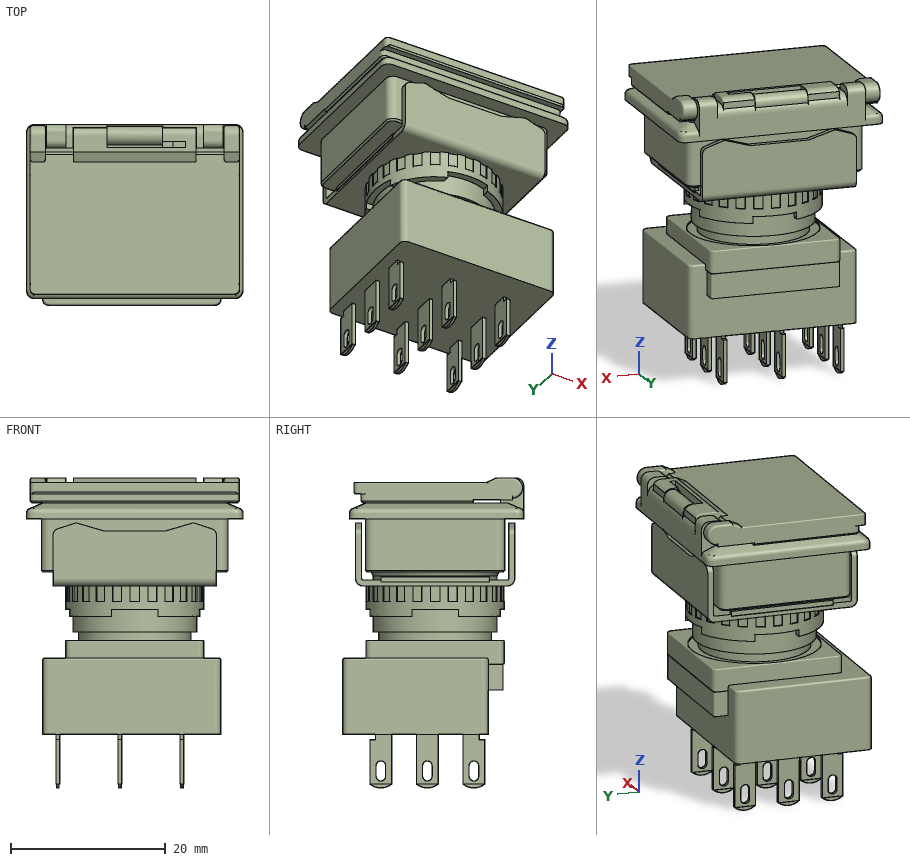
import cadquery as cq


FRAME_X, FRAME_REAR, FRAME_FRONT = 28.0, 11.45, -11.05
FRAME_CORNER_R, FRAME_TOP_CORNER_R = 1.05, 0.4
FRAME_EDGE_Z, FRAME_TOP_Z = 1.15, 2.05
FRAME_BEVEL_INSET = 2.1
FRAME_EDGE_FILLET = 0.65
FRAME_Y = FRAME_REAR - FRAME_FRONT
FRAME_MID_Y = (FRAME_REAR + FRAME_FRONT) / 2
HEAD_X, HEAD_Y, HEAD_DEPTH = 24.15, 18.05, 6.9
HEAD_CORNER_R, HEAD_CHAMFER = 1.1, 0.25

BARREL_R, BARREL_CONE_R, BARREL_CONE_H = 8.0, 8.25, 0.5
BARREL_BOTTOM_Z = -14.65
NECK_R = 7.3
CLIP_BOTTOM_Z = -8.7
KNURL_R, KNURL_BOTTOM_Z = 8.95, -11.7
GROOVE_COUNT, GROOVE_W, GROOVE_H, GROOVE_DEPTH = 24, 1.2, 2.0, 0.2
CROWN_BOTTOM_Z, CROWN_NOTCH_W = -12.65, 6.0

HINGE_Y, HINGE_Z, HINGE_R = 10.0, 3.95, 1.32
HINGE_TOP_Z = HINGE_Z + HINGE_R
KNUCKLE_INNER_X, KNUCKLE_OUTER_X = 8.9, 11.4
KNUCKLE_FRONT_Y, KNUCKLE_FRONT_R, KNUCKLE_REAR_R = 8.42, 0.92, 1.05
WALL_TOP_Z, WALL_ROUND_R = 4.4, 1.5

LID_X, LID_FRONT, LID_CORNER_R = 27.03, -10.5, 0.6
LID_BOTTOM_Z, LID_TOP_Z = FRAME_TOP_Z, 4.7
LIP_BOTTOM_Z, LID_LOWER_FRONT = 3.2, -9.6
LID_TOP_FILLET, LID_BOTTOM_CHAMFER = 0.15, 0.25
LIP_CHAMFER_Y, LIP_CHAMFER_Z = 0.12, 0.3
LID_NOTCH_CHAMFER = 0.32
RELIEF_Z, RELIEF_Y = 2.45, 4.95
HUMP_FLAT_FRONT_Y, HUMP_RAMP_FRONT_Y = 7.9, 6.6
EAR_FILLET, CENTER_FILLET = 0.3, 0.12
EAR_INNER_X = 11.5
CENTER_HALF_X, CENTER_REAR_Y = 7.95, 11.03
LID_NOTCH_FRONT_Y = 7.9
PIN_HALF_X, PIN_R = 3.6, 1.2
PIN_RECESS_FRONT_Y = 8.45
SLOT_REAR_Y, SLOT_END_X, SLOT_STEP_X = 9.22, 6.55, 4.97
SLOT_DEEP_Z, SLOT_SHALLOW_Z = 4.0, 4.4
HINGE_GAP = 0.05

CLIP_X, CLIP_Y, CLIP_T = 21.1, 20.6, 0.8
CLIP_BEND_R = 1.0
CLIP_CORNER_Z, CLIP_CORNER_R = -1.5, 0.8
CLIP_PEAK_X, CLIP_PEAK_Z = 7.58, -0.52
CLIP_VALLEY_X, CLIP_VALLEY_Z = 4.0, -1.55
CLIP_RIB_Y, CLIP_RIB_T, CLIP_RIB_TOP_Z = 14.05, 0.6, -7.55
CLIP_STEP_Z, CLIP_STEP = -8.2, 0.12

PLATE_SIDE, PLATE_TOP_Z, PLATE_BOTTOM_Z = 17.9, -15.7, -18.8
PLATE_CORNER_R, PLATE_FILLET = 0.75, 0.15
RECESS_R, RECESS_DEPTH = 8.62, 0.2
LEVER_BOTTOM_Z = -22.15
BLOCK_LEFT, BLOCK_RIGHT = -11.9, 11.15
BLOCK_FRONT, BLOCK_REAR = -11.95, 6.9
BLOCK_TOP_Z, BLOCK_BOTTOM_Z = -18.0, -27.85
BLOCK_CORNER_R, BLOCK_FILLET = 0.8, 0.3

TERMINAL_MID_X, TERMINAL_PITCH_X = -1.92, 8.0
TERMINAL_MID_Y, TERMINAL_PITCH_Y = -1.0, 6.0
TERMINAL_W, TERMINAL_T, TERMINAL_TIP_T = 2.85, 0.52, 0.35
TERMINAL_TIP_Z, TERMINAL_ARC_Z = -34.8, -34.3
TERMINAL_NOTCH_W, TERMINAL_NOTCH_H = 0.72, 0.7
EYE_Z, EYE_L, EYE_W = -32.6, 2.55, 1.2


def box(x0, x1, y0, y1, z0, z1):
    """Block between the given coordinates."""
    return cq.Workplane("XY").box(x1 - x0, y1 - y0, z1 - z0, centered=False).translate((x0, y0, z0))


def cylinder(radius, z0, z1):
    """Upright cylinder on the barrel axis."""
    return cq.Workplane("XY").workplane(offset=z0).circle(radius).extrude(z1 - z0)


def extrude_along_x(profile, x0, x1):
    """Extrude a closed (Y, Z) profile drawn on the YZ plane from x0 to x1."""
    return profile.extrude(x1 - x0).translate((x0, 0, 0))


def rounded_rectangle(size_x, size_y, corner_r):
    return cq.Sketch().rect(size_x, size_y).vertices().fillet(corner_r)


def frame_flange():
    """Flange plate whose top bevels inward, softened where the bevel meets the upright edge."""
    outline = rounded_rectangle(FRAME_X, FRAME_Y, FRAME_CORNER_R)
    top_outline = rounded_rectangle(
        FRAME_X - 2 * FRAME_BEVEL_INSET, FRAME_Y - 2 * FRAME_BEVEL_INSET, FRAME_TOP_CORNER_R
    ).moved(cq.Location(cq.Vector(0, 0, FRAME_TOP_Z - FRAME_EDGE_Z)))
    edge = cq.Workplane("XY").placeSketch(outline).extrude(FRAME_EDGE_Z)
    bevel = cq.Workplane("XY").workplane(offset=FRAME_EDGE_Z).placeSketch(outline, top_outline).loft()
    shoulder = cq.selectors.BoxSelector(
        (-FRAME_X, -FRAME_Y, FRAME_EDGE_Z - 0.05), (FRAME_X, FRAME_Y, FRAME_EDGE_Z + 0.05)
    )
    flange = edge.union(bevel).edges(shoulder).fillet(FRAME_EDGE_FILLET)
    return flange.translate((0, FRAME_MID_Y, 0))


def hinge_wall():
    """Low wall along the rear edge, hollowed where the middle of the lid turns."""
    profile = (
        cq.Workplane("YZ").moveTo(KNUCKLE_FRONT_Y, 0).lineTo(FRAME_REAR, 0)
        .lineTo(FRAME_REAR, WALL_TOP_Z - WALL_ROUND_R)
        .radiusArc((FRAME_REAR - WALL_ROUND_R, WALL_TOP_Z), -WALL_ROUND_R)
        .lineTo(KNUCKLE_FRONT_Y, WALL_TOP_Z).close()
    )
    wall = extrude_along_x(profile, -KNUCKLE_OUTER_X, KNUCKLE_OUTER_X)
    lid_room_x = CENTER_HALF_X + HINGE_GAP
    lid_room_y = CENTER_REAR_Y + HINGE_GAP
    pin_room_x = PIN_HALF_X + HINGE_GAP
    pin_room_y = HINGE_Y + PIN_R + HINGE_GAP
    wall = wall.cut(box(-lid_room_x, lid_room_x, 0, lid_room_y, FRAME_TOP_Z, HINGE_TOP_Z))
    return wall.cut(box(-pin_room_x, pin_room_x, 0, pin_room_y, FRAME_TOP_Z, HINGE_TOP_Z))


def knuckle(x0, x1):
    profile = (
        cq.Workplane("YZ").moveTo(KNUCKLE_FRONT_Y, 0).lineTo(FRAME_REAR, 0)
        .lineTo(FRAME_REAR, HINGE_TOP_Z - KNUCKLE_REAR_R)
        .radiusArc((FRAME_REAR - KNUCKLE_REAR_R, HINGE_TOP_Z), -KNUCKLE_REAR_R)
        .lineTo(KNUCKLE_FRONT_Y + KNUCKLE_FRONT_R, HINGE_TOP_Z)
        .radiusArc((KNUCKLE_FRONT_Y, HINGE_TOP_Z - KNUCKLE_FRONT_R), -KNUCKLE_FRONT_R).close()
    )
    return extrude_along_x(profile, x0, x1)


def barrel():
    head_bottom_z = -HEAD_DEPTH
    cone_bottom_z = head_bottom_z - BARREL_CONE_H
    neck_bottom_z = PLATE_TOP_Z - RECESS_DEPTH
    return (
        cq.Workplane("XZ").moveTo(0, head_bottom_z).lineTo(BARREL_CONE_R, head_bottom_z)
        .lineTo(BARREL_R, cone_bottom_z).lineTo(BARREL_R, BARREL_BOTTOM_Z)
        .lineTo(NECK_R, BARREL_BOTTOM_Z).lineTo(NECK_R, neck_bottom_z).lineTo(0, neck_bottom_z)
        .close().revolve(360, (0, 0, 0), (0, 1, 0))
    )


def knurled_ring():
    ring = cylinder(KNURL_R, KNURL_BOTTOM_Z, CLIP_BOTTOM_Z)
    groove = box(
        KNURL_R - GROOVE_DEPTH, KNURL_R + 0.4, -GROOVE_W / 2, GROOVE_W / 2,
        CLIP_BOTTOM_Z - GROOVE_H, CLIP_BOTTOM_Z,
    )
    for i in range(GROOVE_COUNT):
        ring = ring.cut(groove.rotate((0, 0, 0), (0, 0, 1), i * 360 / GROOVE_COUNT))
    crown = cylinder(KNURL_R, CROWN_BOTTOM_Z, KNURL_BOTTOM_Z)
    for span_x, span_y in ((CROWN_NOTCH_W, 2 * KNURL_R), (2 * KNURL_R, CROWN_NOTCH_W)):
        crown = crown.cut(
            box(-span_x / 2, span_x / 2, -span_y / 2, span_y / 2, CROWN_BOTTOM_Z, KNURL_BOTTOM_Z)
        )
    return ring.union(crown)


def make_housing():
    """Frame flange with hinge knuckles, square head, barrel and knurled ring."""
    head = (
        cq.Workplane("XY").rect(HEAD_X, HEAD_Y).extrude(-HEAD_DEPTH)
        .edges("|Z").fillet(HEAD_CORNER_R).faces("<Z").edges().chamfer(HEAD_CHAMFER)
    )
    housing = frame_flange().union(head).union(barrel()).union(knurled_ring()).union(hinge_wall())
    housing = housing.union(knuckle(-KNUCKLE_OUTER_X, -KNUCKLE_INNER_X))
    return housing.union(knuckle(KNUCKLE_INNER_X, KNUCKLE_OUTER_X))


def lid_hump(x0, x1, side_fillet):
    """Raised rear part of the lid: a round hinge end, a flat top and a ramp down to the lid."""
    profile = (
        cq.Workplane("YZ").moveTo(HINGE_Y, HINGE_Z - HINGE_R)
        .threePointArc((HINGE_Y + HINGE_R, HINGE_Z), (HINGE_Y, HINGE_TOP_Z))
        .lineTo(HUMP_FLAT_FRONT_Y, HINGE_TOP_Z).lineTo(HUMP_RAMP_FRONT_Y, LID_TOP_Z)
        .lineTo(HUMP_RAMP_FRONT_Y, HINGE_Z - HINGE_R).close()
    )
    return extrude_along_x(profile, x0, x1).faces("<X or >X").edges().fillet(side_fillet)


def lid_panel():
    half_x = LID_X / 2
    upper = box(-half_x, half_x, LID_FRONT, HINGE_Y, LIP_BOTTOM_Z, LID_TOP_Z)
    upper = upper.edges("|Z and <Y").fillet(LID_CORNER_R)
    upper = upper.faces(">Z").edges("not >Y").fillet(LID_TOP_FILLET)
    lip_chamfer = cq.Workplane("YZ").polyline([
        (LID_FRONT, LIP_BOTTOM_Z), (LID_FRONT + LIP_CHAMFER_Y, LIP_BOTTOM_Z),
        (LID_FRONT, LIP_BOTTOM_Z + LIP_CHAMFER_Z),
    ]).close()
    upper = upper.cut(extrude_along_x(lip_chamfer, -half_x, half_x))
    lower = box(-half_x, half_x, LID_LOWER_FRONT, HINGE_Y, LID_BOTTOM_Z, LIP_BOTTOM_Z)
    lower = lower.edges("|Z and <Y").fillet(LID_CORNER_R).faces("<Z").edges("<Y").chamfer(LID_BOTTOM_CHAMFER)
    relief = box(-half_x, half_x, RELIEF_Y, FRAME_REAR, LID_BOTTOM_Z, RELIEF_Z)
    return upper.union(lower).cut(relief)


def hinge_notch(x0, x1):
    """Space for a frame knuckle, widened by a chamfer along the top edge of the lid."""
    profile = cq.Workplane("YZ").polyline([
        (LID_NOTCH_FRONT_Y, LID_BOTTOM_Z), (LID_NOTCH_FRONT_Y, LID_TOP_Z - LID_NOTCH_CHAMFER),
        (LID_NOTCH_FRONT_Y - LID_NOTCH_CHAMFER, LID_TOP_Z), (FRAME_REAR, LID_TOP_Z),
        (FRAME_REAR, LID_BOTTOM_Z),
    ]).close()
    return extrude_along_x(profile, x0, x1)


def make_lid():
    half_x = LID_X / 2
    lid = lid_panel()
    for side in (-1, 1):
        x0, x1 = sorted((side * CENTER_HALF_X, side * EAR_INNER_X))
        lid = lid.cut(hinge_notch(x0, x1))
        x0, x1 = sorted((side * EAR_INNER_X, side * half_x))
        lid = lid.union(lid_hump(x0, x1, EAR_FILLET))
    center = lid_hump(-CENTER_HALF_X, CENTER_HALF_X, CENTER_FILLET)
    center = center.cut(
        box(-half_x, half_x, CENTER_REAR_Y, FRAME_REAR, LID_BOTTOM_Z, HINGE_TOP_Z)
    )
    lid = lid.union(center)

    lid = lid.cut(
        box(-PIN_HALF_X, PIN_HALF_X, PIN_RECESS_FRONT_Y, FRAME_REAR, LID_BOTTOM_Z, HINGE_TOP_Z)
    )
    pin = extrude_along_x(
        cq.Workplane("YZ").center(HINGE_Y, HINGE_Z).circle(PIN_R), -PIN_HALF_X, PIN_HALF_X
    )
    lid = lid.union(pin)
    for end_x, floor_z in ((SLOT_STEP_X, SLOT_DEEP_Z), (SLOT_END_X, SLOT_SHALLOW_Z)):
        lid = lid.cut(box(PIN_HALF_X, end_x, PIN_RECESS_FRONT_Y, SLOT_REAR_Y, floor_z, HINGE_TOP_Z))
    return lid


def clip_outline():
    """Face of both arms, with two peaks and a valley between them along the top."""
    half_x = CLIP_X / 2
    outline = cq.Workplane("XZ", origin=(0, CLIP_Y / 2, 0)).polyline([
        (-half_x, CLIP_BOTTOM_Z), (-half_x, CLIP_CORNER_Z), (-CLIP_PEAK_X, CLIP_PEAK_Z),
        (-CLIP_VALLEY_X, CLIP_VALLEY_Z), (CLIP_VALLEY_X, CLIP_VALLEY_Z), (CLIP_PEAK_X, CLIP_PEAK_Z),
        (half_x, CLIP_CORNER_Z), (half_x, CLIP_BOTTOM_Z),
    ]).close().extrude(CLIP_Y)
    for x in (-half_x, half_x):
        corner = cq.selectors.BoxSelector(
            (x - 0.4, -CLIP_Y, CLIP_CORNER_Z - 0.4), (x + 0.4, CLIP_Y, CLIP_CORNER_Z + 0.4)
        )
        outline = outline.edges(corner).fillet(CLIP_CORNER_R)
    return outline


def make_clip():
    """U-shaped sheet clip around the barrel, resting on the knurled ring."""
    half_x, half_y = CLIP_X / 2, CLIP_Y / 2
    floor_z = CLIP_BOTTOM_Z + CLIP_T
    outer = box(-half_x, half_x, -half_y, half_y, CLIP_BOTTOM_Z, 0)
    outer = outer.faces("<Z").edges("|X").fillet(CLIP_BEND_R)
    inner = box(-half_x, half_x, -half_y + CLIP_T, half_y - CLIP_T, floor_z, 0)
    inner = inner.faces("<Z").edges("|X").fillet(CLIP_BEND_R - CLIP_T)
    clip = outer.cut(inner).intersect(clip_outline())

    for side in (-1, 1):
        x0, x1 = sorted((side * (half_x - CLIP_STEP), side * (half_x - CLIP_RIB_T)))
        clip = clip.union(box(x0, x1, -CLIP_RIB_Y / 2, CLIP_RIB_Y / 2, floor_z, CLIP_RIB_TOP_Z))
        x0, x1 = sorted((side * half_x, side * (half_x - CLIP_STEP)))
        clip = clip.cut(box(x0, x1, -CLIP_RIB_Y / 2, CLIP_RIB_Y / 2, CLIP_STEP_Z, floor_z))
    return clip.cut(cylinder(BARREL_R, CLIP_BOTTOM_Z, 0))


def terminal(notch_side):
    """Solder terminal at Y = 0, with a shoulder notch on the +Y (1) or -Y (-1) side, or none (0)."""
    half_w = TERMINAL_W / 2
    plate = extrude_along_x(
        cq.Workplane("YZ").moveTo(-half_w, BLOCK_BOTTOM_Z).lineTo(-half_w, TERMINAL_ARC_Z)
        .threePointArc((0, TERMINAL_TIP_Z), (half_w, TERMINAL_ARC_Z)).lineTo(half_w, BLOCK_BOTTOM_Z)
        .close(),
        -TERMINAL_T / 2, TERMINAL_T / 2,
    )
    for x0, x1 in ((-TERMINAL_T, -TERMINAL_TIP_T / 2), (TERMINAL_TIP_T / 2, TERMINAL_T)):
        plate = plate.cut(box(x0, x1, -half_w, half_w, TERMINAL_TIP_Z, TERMINAL_ARC_Z))
    eye = extrude_along_x(
        cq.Workplane("YZ").center(0, EYE_Z).slot2D(EYE_L, EYE_W, 90), -TERMINAL_T, TERMINAL_T
    )
    plate = plate.cut(eye)
    if notch_side:
        y0, y1 = sorted((notch_side * half_w, notch_side * (half_w - TERMINAL_NOTCH_W)))
        notch = box(
            -TERMINAL_T, TERMINAL_T, y0, y1, BLOCK_BOTTOM_Z - TERMINAL_NOTCH_H, BLOCK_BOTTOM_Z
        )
        plate = plate.cut(notch)
    return plate


def make_contact_block():
    """Top plate with lever boss, terminal block and a 3 x 3 grid of terminals."""
    half_side = PLATE_SIDE / 2
    plate = box(-half_side, half_side, -half_side, half_side, PLATE_BOTTOM_Z, PLATE_TOP_Z)
    plate = plate.edges("|Z").fillet(PLATE_CORNER_R).faces("<Z or >Z").edges().fillet(PLATE_FILLET)
    plate = plate.cut(cylinder(RECESS_R, PLATE_TOP_Z - RECESS_DEPTH, PLATE_TOP_Z))
    lever_half = half_side - PLATE_FILLET
    lever = box(-lever_half, lever_half, 0, lever_half, LEVER_BOTTOM_Z, PLATE_BOTTOM_Z)
    lever = lever.edges("|Z and >Y").fillet(PLATE_FILLET)
    body = box(BLOCK_LEFT, BLOCK_RIGHT, BLOCK_FRONT, BLOCK_REAR, BLOCK_BOTTOM_Z, BLOCK_TOP_Z)
    body = body.edges("|Z").fillet(BLOCK_CORNER_R).faces(">Z").edges().fillet(BLOCK_FILLET)
    block = body.union(plate).union(lever)
    for column in (-1, 0, 1):
        for row in (-1, 0, 1):
            place = (
                TERMINAL_MID_X + column * TERMINAL_PITCH_X, TERMINAL_MID_Y + row * TERMINAL_PITCH_Y, 0
            )
            block = block.union(terminal(row).translate(place))
    return block


housing = make_housing()
lid = make_lid()
clip = make_clip()
contact_block = make_contact_block()

bodies = [housing, lid, clip, contact_block]
result = cq.Compound.makeCompound([body.solids().val() for body in bodies])